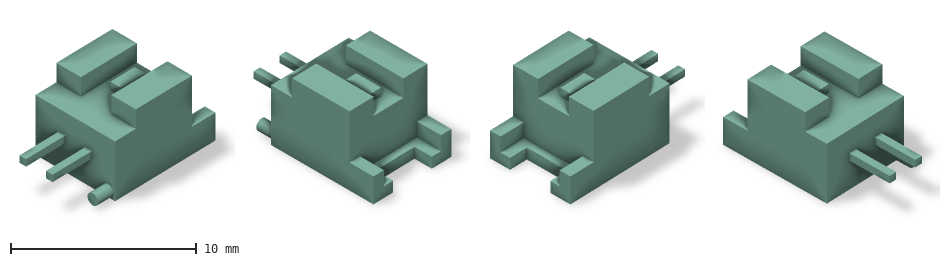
import cadquery as cq


housing_width = 6.0
housing_depth = 7.7
housing_height = 4.0
overall_height = 5.3

ledge_start = 5.9
ledge_height = 1.87
wall_thickness = 0.8
floor_thickness = wall_thickness
notch_width = 3.0
notch_depth = 1.3

shoulder_gap = 2.3
shoulder_start = 1.6
latch_width = 0.8
latch_length = 1.85
latch_start = 3.1
latch_top = 4.6

pin_count = 2
pin_pitch = 2.0
pin_side = 0.5
pin_length = 3.0
pin_center_height = 2.2

peg_diameter = 0.8
peg_length = 1.2
peg_center_x = 2.5
peg_center_height = 0.5


def block(x_center, x_size, y_start, y_end, z_start, z_end):
    """Box centred on x_center in X and spanning the given Y and Z limits."""
    size = (x_size, y_end - y_start, z_end - z_start)
    corner = (x_center - x_size / 2, y_start, z_start)
    return cq.Workplane("XY").box(*size, centered=False).translate(corner)


def make_housing():
    body = block(0, housing_width, 0, ledge_start, 0, housing_height)
    ledge = block(0, housing_width, ledge_start, housing_depth, 0, ledge_height)
    recess_width = housing_width - 2 * wall_thickness
    recess = block(0, recess_width, ledge_start, housing_depth, floor_thickness, ledge_height)
    notch = block(0, notch_width, housing_depth - notch_depth, housing_depth, 0, ledge_height)
    return body.union(ledge.cut(recess).cut(notch))


def make_shoulders():
    full_top = block(0, housing_width, shoulder_start, ledge_start, housing_height, overall_height)
    gap = block(0, shoulder_gap, shoulder_start, ledge_start, housing_height, overall_height)
    return full_top.cut(gap)


def make_latch_bump():
    return block(0, latch_width, latch_start, latch_start + latch_length, housing_height, latch_top)


def make_pin(x_center):
    bottom = pin_center_height - pin_side / 2
    return block(x_center, pin_side, -pin_length, 0, bottom, bottom + pin_side)


def make_peg():
    return (
        cq.Workplane("XZ")
        .center(peg_center_x, peg_center_height)
        .circle(peg_diameter / 2)
        .extrude(peg_length)
    )


result = make_housing().union(make_shoulders()).union(make_latch_bump()).union(make_peg())
for pin_index in range(pin_count):
    pin_x = (pin_index - (pin_count - 1) / 2) * pin_pitch
    result = result.union(make_pin(pin_x))